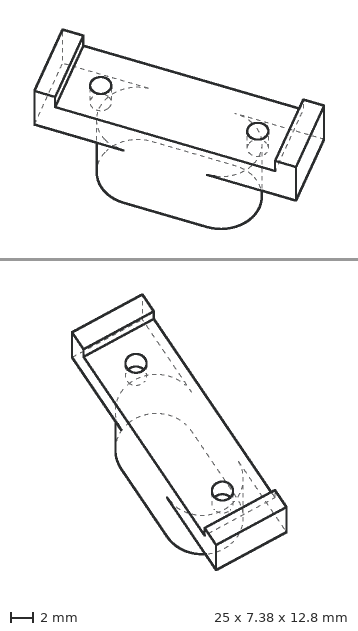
import cadquery as cq

plate_length = 25.0
plate_width = 7.38
total_height = 12.75
plate_height = 5.0
stem_height = total_height - plate_height

lip_length = 2.0
lip_height = 1.5

stem_length = 15.32
stem_width = plate_width

hole_diameter = 1.9
hole_spacing = 15.0
hole_depth = 2.5


def make_plate():
    """Rectangular plate with a channel that leaves a lip at each end."""
    block = (
        cq.Workplane("XY")
        .workplane(offset=stem_height)
        .rect(plate_length, plate_width)
        .extrude(plate_height)
    )
    channel = (
        cq.Workplane("XY")
        .workplane(offset=total_height - lip_height)
        .rect(plate_length - 2 * lip_length, plate_width)
        .extrude(lip_height)
    )
    return block.cut(channel)


def make_stem():
    """Upright stem with semicircular ends."""
    return (
        cq.Workplane("XY")
        .slot2D(stem_length, stem_width)
        .extrude(stem_height)
    )


def make_holes():
    """Pair of blind holes sunk from the channel floor."""
    return (
        cq.Workplane("XY")
        .workplane(offset=total_height - lip_height)
        .pushPoints([(-hole_spacing / 2, 0), (hole_spacing / 2, 0)])
        .circle(hole_diameter / 2)
        .extrude(-hole_depth)
    )


result = make_plate().union(make_stem()).cut(make_holes())